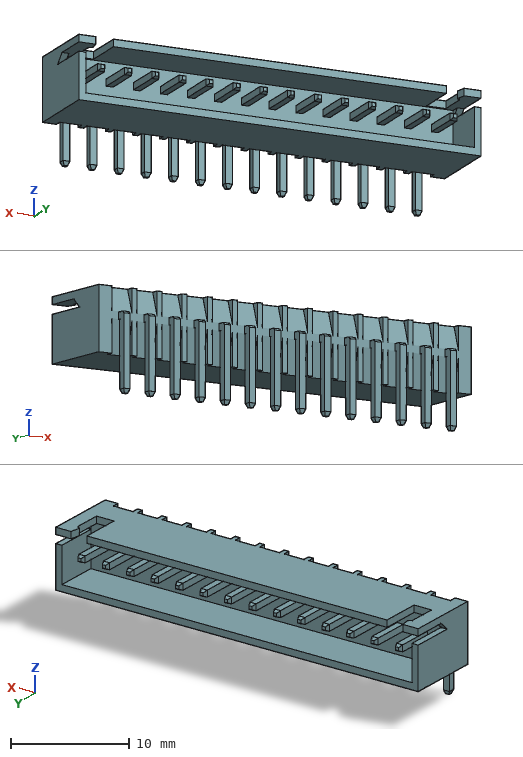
import cadquery as cq

length = 37.7
depth = 7.25
height = 5.8

roof_thickness = 0.68
floor_thickness = 0.68
end_wall = 0.65
cavity_depth = 4.22

pocket_width = 2.05
pocket_depth = 0.68
upper_pocket_height = 2.15
lower_pocket_height = 2.98

pin_count = 14
pin_span = 33.0
pin_width = 0.65
pin_front = -0.8
pin_bottom = -3.43
pin_top = 3.6
bend_chamfer = 0.2
tip_length = 0.38
tip_inset = 0.15
mouth_gap = 0.2
pin_positions = [pin_span * (i / (pin_count - 1) - 0.5) for i in range(pin_count)]

lock_width = 1.8
lock_depth = 3.95
lock_mouth_inset = 0.15
lock_nub_inset = 0.35
nub_peak = 0.98
nub_end = 1.2

side_slot_height = 0.83
side_slot_roof_depth = 3.35
side_slot_floor_depth = cavity_depth


def box(x_range, y_range, z_range):
    """Axis-aligned block between the given limits."""
    corner = (x_range[0], y_range[0], z_range[0])
    size = [limits[1] - limits[0] for limits in (x_range, y_range, z_range)]
    return cq.Workplane("XY").box(*size, centered=False).translate(corner)


def extrude_along_x(points, width, x_center=0.0):
    """Closed (Y, Z) outline extruded along X, centred on x_center."""
    return (
        cq.Workplane("YZ", origin=(x_center, 0, 0))
        .polyline(points)
        .close()
        .extrude(width / 2, both=True)
    )


def make_cavity():
    """Rectangular cavity that leaves a roof, a floor and two end walls."""
    half = length / 2 - end_wall
    return box((-half, half), (depth - cavity_depth, depth), (floor_thickness, height - roof_thickness))


def make_side_slots():
    """Slot with a slanted inner end, passing through both end walls."""
    top = height - roof_thickness
    bottom = top - side_slot_height
    outline = [
        (depth, top),
        (depth - side_slot_roof_depth, top),
        (depth - side_slot_floor_depth, bottom),
        (depth, bottom),
    ]
    return extrude_along_x(outline, length)


def make_lock_slots():
    """Roof slots whose outer edge carries a pointed latch nub near the mouth."""
    inner = pin_span / 2 - lock_width / 2
    outer = inner + lock_width
    slot = (
        cq.Workplane("XY", origin=(0, 0, height - roof_thickness))
        .polyline([
            (inner, depth),
            (inner, depth - lock_depth),
            (outer, depth - lock_depth),
            (outer, depth - nub_end),
            (outer - lock_nub_inset, depth - nub_peak),
            (outer - lock_mouth_inset, depth),
        ])
        .close()
        .extrude(roof_thickness)
    )
    return slot.union(slot.mirror("YZ"))


def make_pockets(x_center):
    """Two wedges that deepen toward the top and the bottom of the pin side."""
    upper = [(0, height), (pocket_depth, height), (0, height - upper_pocket_height)]
    lower = [(0, 0), (pocket_depth, 0), (0, lower_pocket_height)]
    return extrude_along_x(upper, pocket_width, x_center).union(
        extrude_along_x(lower, pocket_width, x_center)
    )


def make_tip(direction, origin):
    """Tapered square pin end pointing along the given direction."""
    return (
        cq.Workplane(cq.Plane(origin=origin, xDir=(1, 0, 0), normal=direction))
        .rect(pin_width, pin_width)
        .workplane(offset=tip_length)
        .rect(pin_width - 2 * tip_inset, pin_width - 2 * tip_inset)
        .loft(ruled=True)
    )


def make_pin(x_center):
    """One pin: contact leg along Y inside the cavity, solder leg straight down."""
    shoulder_y = depth - mouth_gap - tip_length
    shoulder_z = pin_bottom + tip_length
    contact_bottom = pin_top - pin_width
    leg_back = pin_front + pin_width
    wire = extrude_along_x(
        [
            (shoulder_y, pin_top),
            (pin_front + bend_chamfer, pin_top),
            (pin_front, pin_top - bend_chamfer),
            (pin_front, shoulder_z),
            (leg_back, shoulder_z),
            (leg_back, contact_bottom),
            (shoulder_y, contact_bottom),
        ],
        pin_width,
        x_center,
    )
    contact_tip = make_tip((0, 1, 0), (x_center, shoulder_y, pin_top - pin_width / 2))
    solder_tip = make_tip((0, 0, -1), (x_center, pin_front + pin_width / 2, shoulder_z))
    return wire.union(contact_tip).union(solder_tip)


housing = (
    box((-length / 2, length / 2), (0, depth), (0, height))
    .cut(make_cavity())
    .cut(make_side_slots())
    .cut(make_lock_slots())
)
for x in pin_positions:
    housing = housing.cut(make_pockets(x))

result = housing
for x in pin_positions:
    result = result.union(make_pin(x))